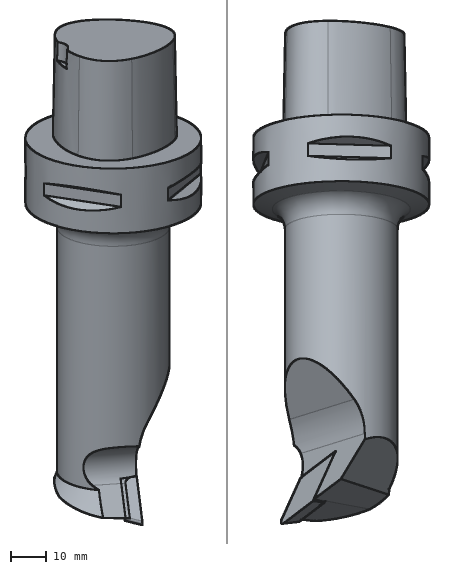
import cadquery as cq
import math


polygon_height = 30.0
polygon_top_radius = 17.0
polygon_base_radius = 17.5
lobe_height = 1.1
polygon_sides = 6
points_per_side = 6
key_radius = 5.0
key_bottom_y = -14.1
key_depth = 5.6

flange_radius = 50.0 / 2
flange_height = 19.6
neck_cone_radius = 19.6
neck_cone_z = -21.0
neck_end_z = -26.9
neck_arc_radius = 6.6

pocket_count = 4
pocket_floor_distance = 22.0
pocket_z = -9.8
pocket_floor_half_height = 1.8
pocket_mouth_half_height = 3.4

bar_radius = 32.0 / 2
flare_start_z = -101.0
flare_slope = 0.72
tool_tip_z = polygon_height - 140
back_cut_top_z = -91.1
back_cut_end = (-4.0, -102.2)
underside_slope = 0.3
clear = 42.0

rake_turn = 10.8
rake_distance = 4.3
rake_end_z = -91.0
runout_arc_end = (7.3, -81.2)
runout_slope = 0.66

relief_start_u = 5.5
relief_start_v = -3.2
relief_start_z = -105.0
relief_slope = 0.19
relief_clearance = 0.052

insert_side = 16.1
insert_thickness = 4.6
insert_corner_angle = 35.0
insert_clearance = 7.0
insert_tilt = 16.7
nose_radius = 0.8
nose_reach = 21.3

gullet_radius = 8.0
gullet_inset = 0.4
gullet_wall_length = 14.4

lead_angle = math.radians(insert_tilt + insert_corner_angle)
lower_angle = math.radians(insert_tilt)
half_corner = math.radians(insert_corner_angle / 2)
bisector = lower_angle + half_corner
nose_offset = nose_radius / math.sin(half_corner)
corner_u = nose_reach - nose_radius + nose_offset * math.cos(bisector)
corner_z = tool_tip_z + nose_radius - nose_offset * math.sin(bisector)


def from_corner(distance, angle):
    """Point at a distance back from the sharp insert corner, in the rake plane."""
    return corner_u - distance * math.cos(angle), corner_z + distance * math.sin(angle)


def rake_plane(distance):
    """Plane parallel to the rake face; local x runs outwards, local y along Z."""
    turn = math.radians(rake_turn)
    normal = cq.Vector(math.sin(turn), math.cos(turn), 0)
    outward = cq.Vector(math.cos(turn), -math.sin(turn), 0)
    return cq.Plane(origin=normal * distance, xDir=outward, normal=normal * -1)


def polygon_wire(mean_radius, z):
    """Closed three-lobed curve with one lobe towards +Y, in equal spline pieces."""
    def point(t):
        x = mean_radius * math.sin(t) - lobe_height * math.sin(2 * t)
        y = mean_radius * math.cos(t) + lobe_height * math.cos(2 * t)
        return cq.Vector(x, y, z)

    def tangent(t):
        x = mean_radius * math.cos(t) - 2 * lobe_height * math.cos(2 * t)
        y = -mean_radius * math.sin(t) - 2 * lobe_height * math.sin(2 * t)
        return cq.Vector(x, y, 0)

    step = 2 * math.pi / polygon_sides
    edges = []
    for side in range(polygon_sides):
        start = (side + 0.5) * step
        points = [point(start + step * i / points_per_side) for i in range(points_per_side + 1)]
        ends = [tangent(start), tangent(start + step)]
        edges.append(cq.Edge.makeSpline(points, tangents=ends))
    return cq.Wire.assembleEdges(edges)


def make_polygon_shank():
    base = polygon_wire(polygon_base_radius, 0)
    top = polygon_wire(polygon_top_radius, polygon_height)
    shank = cq.Workplane(cq.Solid.makeLoft([base, top], True))
    key = (
        cq.Workplane("XY", origin=(0, key_bottom_y - key_radius, polygon_height - key_depth))
        .circle(key_radius)
        .extrude(key_depth)
    )
    return shank.cut(key)


def make_turned_body():
    """Flange, neck, bar and flared head as one profile turned about Z."""
    flare_end_radius = bar_radius + flare_slope * (flare_start_z - tool_tip_z)
    return (
        cq.Workplane("XZ")
        .moveTo(0, 0)
        .lineTo(flange_radius, 0)
        .lineTo(flange_radius, -flange_height)
        .lineTo(neck_cone_radius, neck_cone_z)
        .radiusArc((bar_radius, neck_end_z), -neck_arc_radius)
        .lineTo(bar_radius, flare_start_z)
        .lineTo(flare_end_radius, tool_tip_z)
        .lineTo(0, tool_tip_z)
        .close()
        .revolve(360, (0, 0, 0), (0, 1, 0))
    )


def make_gripper_pockets():
    """Straight grooves with sloping walls across the flange, on the diagonals."""
    groove = (
        cq.Workplane("XZ")
        .moveTo(pocket_floor_distance, pocket_z - pocket_floor_half_height)
        .lineTo(flange_radius, pocket_z - pocket_mouth_half_height)
        .lineTo(flange_radius, pocket_z + pocket_mouth_half_height)
        .lineTo(pocket_floor_distance, pocket_z + pocket_floor_half_height)
        .close()
        .extrude(flange_radius, both=True)
    )
    pockets = cq.Workplane("XY")
    for i in range(pocket_count):
        angle = (i + 0.5) * 360 / pocket_count
        pockets = pockets.add(groove.rotate((0, 0, 0), (0, 0, 1), angle))
    return pockets.combine()


def make_underside_cut():
    """Space below the sloping back and underside of the head."""
    head_x, head_z = back_cut_end
    back_slope = (back_cut_top_z - head_z) / (head_x + bar_radius)
    return (
        cq.Workplane("XZ")
        .moveTo(-clear, back_cut_top_z + back_slope * (clear - bar_radius))
        .lineTo(*back_cut_end)
        .lineTo(clear, head_z - underside_slope * (clear - head_x))
        .lineTo(clear, tool_tip_z - clear)
        .lineTo(-clear, tool_tip_z - clear)
        .close()
        .extrude(clear, both=True)
    )


def make_rake_cut():
    """Space in front of the rake face, running out of the bar in an arc and a slope."""
    arc_distance, arc_z = runout_arc_end
    section = cq.Workplane("YZ")
    cut = (
        section.moveTo(rake_distance, tool_tip_z - clear)
        .lineTo(rake_distance, rake_end_z)
        .tangentArcPoint(runout_arc_end, relative=False)
        .lineTo(clear, arc_z + (clear - arc_distance) / runout_slope)
        .lineTo(clear, tool_tip_z - clear)
        .close()
        .extrude(clear, both=True)
    )
    return cut.rotate((0, 0, 0), (0, 0, 1), -rake_turn)


def make_relief_cut():
    """Space below a plane that rises away from the insert for clearance."""
    frame = rake_plane(relief_start_v)
    along = frame.xDir - cq.Vector(0, 0, relief_slope)
    inward = frame.zDir + cq.Vector(0, 0, relief_clearance)
    start = frame.toWorldCoords((relief_start_u, relief_start_z))
    below = cq.Plane(origin=start, xDir=along, normal=inward.cross(along) * -1)
    return cq.Workplane(below).rect(2 * clear, 2 * clear).extrude(clear)


def make_gullet_cut():
    """Round gullet that runs tangentially into the plane of the leading edge."""
    def wall_point(distance, offset):
        u, z = from_corner(distance, lead_angle)
        return u + offset * math.sin(lead_angle), z + offset * math.cos(lead_angle)

    start = wall_point(gullet_wall_length, -gullet_inset)
    center_u, center_z = wall_point(gullet_wall_length, gullet_radius - gullet_inset)
    middle = (center_u - gullet_radius, center_z)
    top = (center_u, center_z + gullet_radius)
    return (
        cq.Workplane(rake_plane(0))
        .moveTo(*wall_point(-clear, -gullet_inset))
        .lineTo(*start)
        .threePointArc(middle, top)
        .lineTo(corner_u + clear, top[1])
        .close()
        .extrude(clear, both=True)
    )


def make_insert():
    lower = from_corner(insert_side, lower_angle)
    upper = from_corner(insert_side, lead_angle)
    far = (lower[0] + upper[0] - corner_u, lower[1] + upper[1] - corner_z)
    plate = (
        cq.Workplane(rake_plane(rake_distance))
        .polyline([(corner_u, corner_z), lower, far, upper])
        .close()
        .extrude(insert_thickness, taper=insert_clearance)
    )
    nose_edge = cq.selectors.NearestToPointSelector(
        rake_plane(rake_distance - insert_thickness / 2).toWorldCoords((corner_u, corner_z)).toTuple()
    )
    return plate.edges(nose_edge).fillet(nose_radius)


insert = make_insert()
holder = (
    make_turned_body()
    .union(make_polygon_shank())
    .cut(make_gripper_pockets())
    .cut(make_underside_cut())
    .cut(make_rake_cut())
    .cut(make_relief_cut())
    .cut(make_gullet_cut())
    .cut(insert)
)

result = cq.Compound.makeCompound([holder.val(), insert.val()])